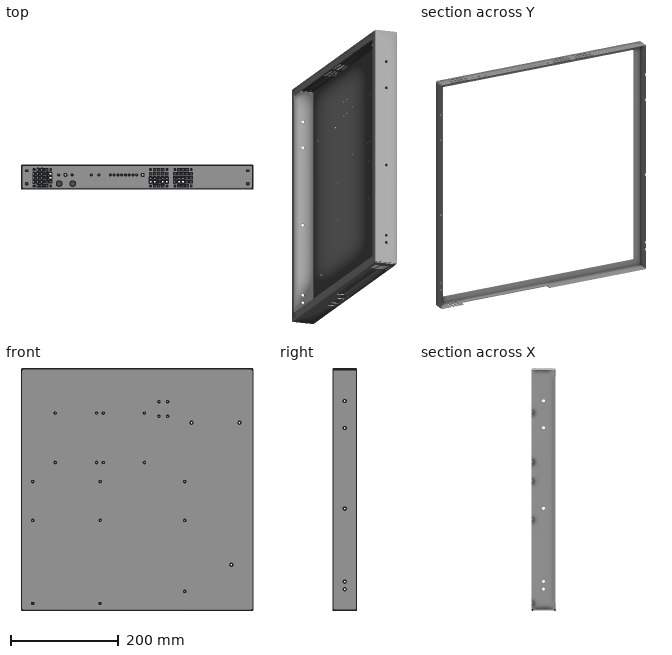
import cadquery as cq

WIDTH = 431.0
DEPTH = 44.45
HEIGHT = 450.0
SHEET = 1.5
FRONT_BEND_RADIUS = 2.4
BACK_BEND_RADIUS = 2.0
CORNER_RELIEF = 1.65
LIP_WIDTH = 15.0

FRONT_HOLE_DIAMETER = 3.8
FRONT_HOLES = (
    [(x, z) for x in (-152.7, -75.7, -63.2, 13.4) for z in (50.5, 142.5)]
    + [(x, z) for x in (40.4, 56.4) for z in (136.6, 163.4)]
    + [(x, z) for x in (-194.3, -69.0) for z in (-212.0, -57.2, 15.1)]
    + [(88.4, z) for z in (-189.3, -57.2, 15.1)]
)
LARGE_FRONT_HOLE_DIAMETER = 5.2
LARGE_FRONT_HOLES = [(101.0, 124.6), (190.0, 124.6), (175.0, -139.7)]

SIDE_HOLE_DIAMETER = 5.3
SIDE_HOLE_HEIGHTS = [165.0, 114.5, -35.3, -171.1, -185.2]

CONTROL_ROW_Y = 4.2
SMALL_CONTROL_DIAMETER = 3.2
SMALL_CONTROL_X = [-146.0, -121.0, -85.4, -71.5]
LED_COUNT = 8
LED_PITCH = 7.0
FIRST_LED_X = -50.0
LARGE_CONTROL_DIAMETER = 5.0
LARGE_CONTROL_X = [-133.5, 10.2]
JACK_DIAMETER = 10.5
JACK_X = [-145.2, -120.0]
JACK_Y = -12.0

MOUNT_X = 205.5
MOUNT_HOLE_Y = -12.0
MOUNT_HOLE_DIAMETER = 5.0
MOUNT_SLOT_Y = 12.0
MOUNT_SLOT_LENGTH = 5.0
MOUNT_SLOT_WIDTH = 3.5

GRILLE_X = [-176.1, 40.0, 85.2]
GRILLE_Y = -1.1
GRILLE_COUNT = 5
GRILLE_PITCH = 7.4
GRILLE_SCREW_SPACING = 30.5
GRILLE_OPENING = 5.2
GRILLE_SCREW_DIAMETER = 3.4

LONG_OPENING_X_RANGE = (-168.0, 12.5)
LONG_OPENING_Y_RANGE = (-3.5, 10.5)

CONNECTOR_X_RANGES = [(13.6, 39.0), (44.8, 70.2), (76.0, 88.0)]
CONNECTOR_Y_RANGE = (-14.0, -0.5)

VENT_SLOT_X = [-192.4, -184.9, -177.4]
VENT_SLOT_WIDTH = 3.0
VENT_SLOT_Y_RANGE = (-17.5, 16.5)


def wall_cutter(plane, origin, sketch):
    """Solid cutting the sketched shapes through the wall whose outer face contains the origin."""
    return sketch(cq.Workplane(plane, origin=origin)).extrude(2 * SHEET, both=True)


def shell():
    outer = cq.Workplane("XY").box(WIDTH, DEPTH, HEIGHT)
    outer = outer.faces("<Y").edges().fillet(FRONT_BEND_RADIUS)
    outer = outer.faces(">Y").edges().fillet(BACK_BEND_RADIUS)
    inner = cq.Workplane("XY").box(WIDTH - 2 * SHEET, DEPTH - 2 * SHEET, HEIGHT - 2 * SHEET)
    inner = inner.faces("<Y").edges().fillet(FRONT_BEND_RADIUS - SHEET)
    inner = inner.faces(">Y").edges().fillet(BACK_BEND_RADIUS - SHEET)
    return outer.cut(inner)


def back_opening():
    opening = cq.Workplane("XY", origin=(0, DEPTH / 2, 0))
    return opening.box(WIDTH - 2 * LIP_WIDTH, DEPTH, HEIGHT - 2 * LIP_WIDTH)


def corner_reliefs():
    """Square notches along Y where the side walls meet the top and bottom walls."""
    corners = [(x, z) for x in (-WIDTH / 2, WIDTH / 2) for z in (-HEIGHT / 2, HEIGHT / 2)]
    notches = cq.Workplane("XZ").pushPoints(corners).rect(2 * CORNER_RELIEF, 2 * CORNER_RELIEF)
    return notches.extrude(DEPTH, both=True)


def front_holes(points, diameter):
    origin = (0, -DEPTH / 2, 0)
    return wall_cutter("XZ", origin, lambda w: w.pushPoints(points).circle(diameter / 2))


def side_holes():
    points = [(0, z) for z in SIDE_HOLE_HEIGHTS]
    return cq.Workplane("YZ").pushPoints(points).circle(SIDE_HOLE_DIAMETER / 2).extrude(WIDTH, both=True)


def top_cutter(sketch):
    return wall_cutter("XY", (0, 0, HEIGHT / 2), sketch)


def top_holes(points, diameter):
    return top_cutter(lambda w: w.pushPoints(points).circle(diameter / 2))


def control_row(xs, diameter):
    return top_holes([(x, CONTROL_ROW_Y) for x in xs], diameter)


def grille(center_x):
    last = GRILLE_COUNT - 1
    squares = []
    for column in range(GRILLE_COUNT):
        for row in range(GRILLE_COUNT):
            is_corner = column in (0, last) and row in (0, last)
            if not is_corner:
                x = center_x + (column - last / 2) * GRILLE_PITCH
                y = GRILLE_Y + (row - last / 2) * GRILLE_PITCH
                squares.append((x, y))
    reach = GRILLE_SCREW_SPACING / 2
    screws = [(center_x + dx, GRILLE_Y + dy) for dx in (-reach, reach) for dy in (-reach, reach)]
    openings = top_cutter(lambda w: w.pushPoints(squares).rect(GRILLE_OPENING, GRILLE_OPENING))
    return openings.union(top_holes(screws, GRILLE_SCREW_DIAMETER))


def mount_points():
    ends = (-MOUNT_X, MOUNT_X)
    holes = top_holes([(x, MOUNT_HOLE_Y) for x in ends], MOUNT_HOLE_DIAMETER)
    slots = top_cutter(
        lambda w: w.pushPoints([(x, MOUNT_SLOT_Y) for x in ends]).slot2D(MOUNT_SLOT_LENGTH, MOUNT_SLOT_WIDTH)
    )
    return holes.union(slots)


def bottom_opening(x_range, y_range):
    x_min, x_max = x_range
    y_min, y_max = y_range
    center = ((x_min + x_max) / 2, (y_min + y_max) / 2, -HEIGHT / 2)
    return wall_cutter("XY", center, lambda w: w.rect(x_max - x_min, y_max - y_min))


def vent_slot(center_x):
    x_range = (center_x - VENT_SLOT_WIDTH / 2, center_x + VENT_SLOT_WIDTH / 2)
    return bottom_opening(x_range, VENT_SLOT_Y_RANGE)


led_x = [FIRST_LED_X + i * LED_PITCH for i in range(LED_COUNT)]

result = shell().cut(back_opening()).cut(corner_reliefs())
result = result.cut(front_holes(FRONT_HOLES, FRONT_HOLE_DIAMETER))
result = result.cut(front_holes(LARGE_FRONT_HOLES, LARGE_FRONT_HOLE_DIAMETER))
result = result.cut(side_holes())
result = result.cut(control_row(SMALL_CONTROL_X + led_x, SMALL_CONTROL_DIAMETER))
result = result.cut(control_row(LARGE_CONTROL_X, LARGE_CONTROL_DIAMETER))
result = result.cut(top_holes([(x, JACK_Y) for x in JACK_X], JACK_DIAMETER))
result = result.cut(mount_points())
for x in GRILLE_X:
    result = result.cut(grille(x))
result = result.cut(bottom_opening(LONG_OPENING_X_RANGE, LONG_OPENING_Y_RANGE))
for connector_range in CONNECTOR_X_RANGES:
    result = result.cut(bottom_opening(connector_range, CONNECTOR_Y_RANGE))
for x in VENT_SLOT_X:
    result = result.cut(vent_slot(x))